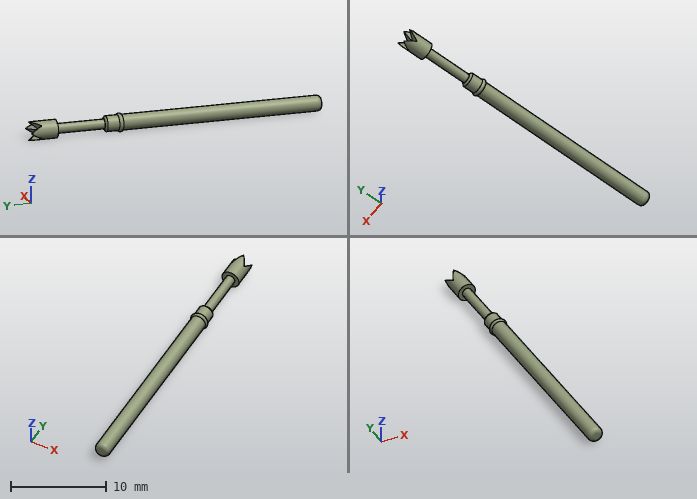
import cadquery as cq
import math

TOTAL_LENGTH = 32.3

HEAD_RADIUS = 1.0
HEAD_LENGTH = 3.0
TOOTH_COUNT = 4
CROWN_ANGLE = 60

SHANK_RADIUS = 0.53

BARREL_RADIUS = 0.85
BARREL_LENGTH = 24.0
TAIL_FILLET = 0.48
MOUTH_RADIUS = 0.6
MOUTH_TAPER = 0.23

RING_RADIUS = 1.0
RING_WIDTH = 0.5
RING_BACK = 22.0

BARREL_BACK = -RING_BACK
BARREL_MOUTH = BARREL_BACK + BARREL_LENGTH
TIP = BARREL_BACK + TOTAL_LENGTH
HEAD_BACK = TIP - HEAD_LENGTH
TOOTH_STEP = 360 / TOOTH_COUNT


def make_barrel():
    """Barrel with rounded tail, tapered mouth and half-round press ring, revolved about Y."""
    tail_face_radius = BARREL_RADIUS - TAIL_FILLET
    arc_inset = TAIL_FILLET * (1 - math.sqrt(0.5))
    arc_radius = BARREL_RADIUS - arc_inset
    arc_y = BARREL_BACK + arc_inset
    ring_flank_radius = RING_RADIUS - RING_WIDTH / 2
    ring_middle = RING_WIDTH / 2
    profile = (
        cq.Workplane("YZ")
        .moveTo(BARREL_BACK, 0)
        .lineTo(BARREL_BACK, tail_face_radius)
        .threePointArc((arc_y, arc_radius), (BARREL_BACK + TAIL_FILLET, BARREL_RADIUS))
        .lineTo(BARREL_MOUTH - MOUTH_TAPER, BARREL_RADIUS)
        .lineTo(BARREL_MOUTH, MOUTH_RADIUS)
        .lineTo(BARREL_MOUTH, 0)
        .close()
    )
    barrel = profile.revolve(360, (0, 0, 0), (1, 0, 0))
    ring = (
        cq.Workplane("YZ")
        .moveTo(0, 0)
        .lineTo(0, ring_flank_radius)
        .threePointArc((ring_middle, RING_RADIUS), (RING_WIDTH, ring_flank_radius))
        .lineTo(RING_WIDTH, 0)
        .close()
        .revolve(360, (0, 0, 0), (1, 0, 0))
    )
    return barrel.union(ring)


def cylinder_along_y(radius, back, front):
    """Solid cylinder on the Y axis between two axial positions."""
    return cq.Workplane("XZ", origin=(0, back, 0)).circle(radius).extrude(back - front)


def make_crown_groove(angle):
    """V groove across the head, running at the given angle about Y."""
    half_width = HEAD_RADIUS * math.sin(math.radians(TOOTH_STEP / 2))
    depth = half_width / math.tan(math.radians(CROWN_ANGLE / 2))
    groove = (
        cq.Workplane("XY")
        .moveTo(0, TIP - depth)
        .lineTo(half_width, TIP)
        .lineTo(-half_width, TIP)
        .close()
        .extrude(2 * HEAD_RADIUS, both=True)
    )
    return groove.rotate((0, 0, 0), (0, 1, 0), angle)


def make_plunger():
    """Crown head on its shank; the shank starts at the barrel mouth."""
    head = cylinder_along_y(HEAD_RADIUS, HEAD_BACK, TIP)
    for angle in (TOOTH_STEP / 2, -TOOTH_STEP / 2):
        head = head.cut(make_crown_groove(angle))
    return head.union(cylinder_along_y(SHANK_RADIUS, BARREL_MOUTH, HEAD_BACK))


result = make_barrel().union(make_plunger())